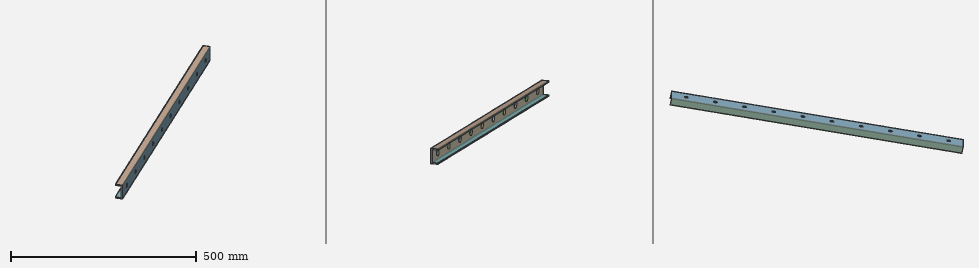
import cadquery as cq

length = 800.0
depth = 21.0
height = 43.0
web_thickness = 5.0
flange_thickness = 4.0
inner_radius = 1.0
outer_radius = 1.0

hole_count = 10
hole_pitch = length / hole_count
hole_diameter = 9.0
countersink_diameter = 18.0
countersink_angle = 90

web_inner_x = depth / 2 - web_thickness


def bar(x_min, x_max, bar_height):
    """Full-length bar between two X positions, centred on Y and Z."""
    return (
        cq.Workplane("XY")
        .box(x_max - x_min, length, bar_height)
        .translate(((x_min + x_max) / 2, 0, 0))
    )


def channel():
    """C-shaped rail with rounded outer edges and rounded inner corners."""
    blank = bar(-depth / 2, depth / 2, height).edges("|Y").fillet(outer_radius)
    cutter = bar(-depth, web_inner_x, height - 2 * flange_thickness)
    cutter = cutter.edges("|Y and >X").fillet(inner_radius)
    return blank.cut(cutter)


def drill_mounting_holes(rail):
    """Row of evenly spaced holes, countersunk from the inner face of the web."""
    inner_face = cq.Plane(origin=(web_inner_x, 0, 0), xDir=(0, 1, 0), normal=(-1, 0, 0))
    return (
        rail.copyWorkplane(cq.Workplane(inner_face))
        .rarray(hole_pitch, 8, hole_count, 1)
        .cskHole(hole_diameter, countersink_diameter, countersink_angle)
    )


result = drill_mounting_holes(channel())